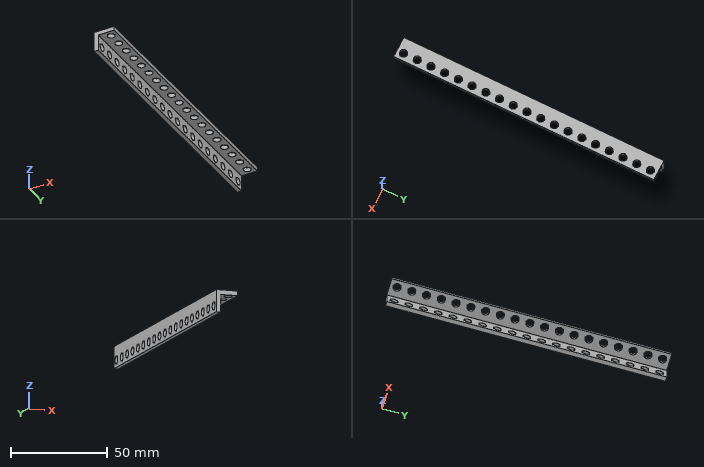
import cadquery as cq

length = 152.0
leg = 12.0
thickness = 2.6
hole_diameter = 4.1
hole_count = 19
hole_offset = 8.0

pitch = length / hole_count


def angle_profile():
    """Solid L-section bar with its outer corner along X = 0, Z = 0."""
    top_leg = cq.Workplane("XY").box(leg, length, thickness, centered=(False, True, False))
    side_leg = cq.Workplane("XY").box(thickness, length, leg, centered=(False, True, False))
    return top_leg.translate((0, 0, -thickness)).union(side_leg.translate((0, 0, -leg)))


def top_holes():
    """Vertical cutters for the row through the top leg."""
    return (
        cq.Workplane("XY")
        .center(hole_offset, 0)
        .rarray(pitch, pitch, 1, hole_count)
        .circle(hole_diameter / 2)
        .extrude(-thickness)
    )


def side_holes():
    """Horizontal cutters for the row through the side leg."""
    return (
        cq.Workplane("YZ")
        .center(0, -hole_offset)
        .rarray(pitch, pitch, hole_count, 1)
        .circle(hole_diameter / 2)
        .extrude(thickness)
    )


result = angle_profile().cut(top_holes()).cut(side_holes())